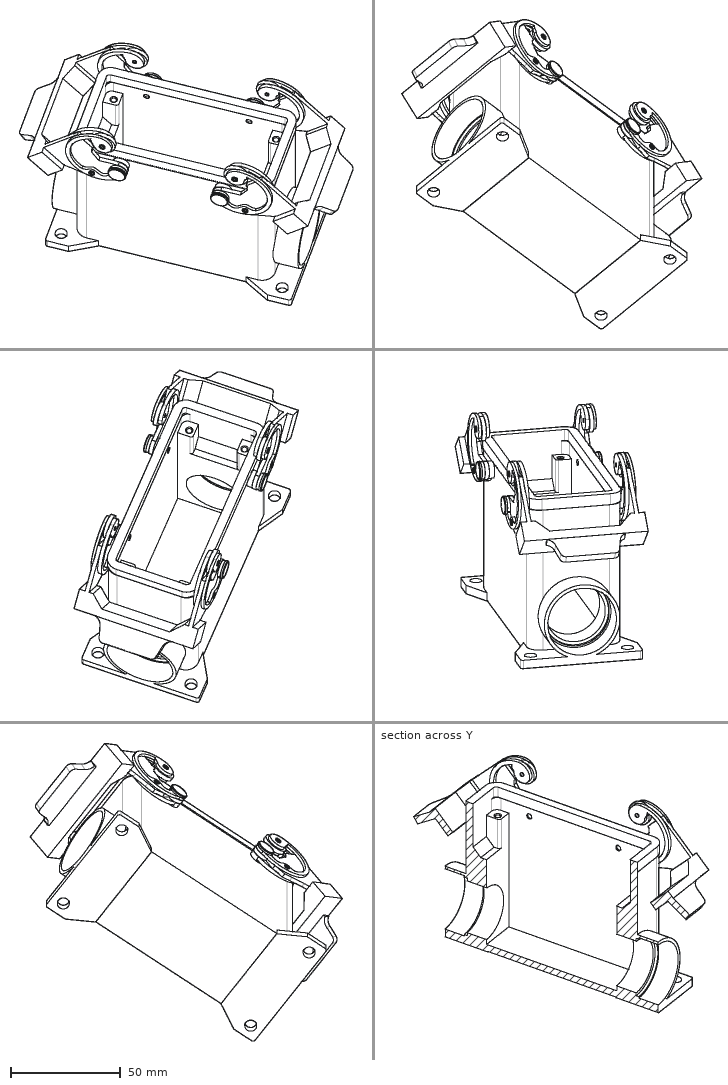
import cadquery as cq
import math

body_length = 94.0
body_width = 43.5
body_base = 0.3
corner_radius = 6.2
rim_length = 94.2
rim_width = 44.5
rim_height = 5.3
body_top = 77.0
rim_bottom = body_top - rim_height
cavity_length = 86.0
cavity_width = 35.9
mouth_width = 36.0
cavity_corner = 3.0
mouth_corner = 1.5
floor_top = 4.1
overlap = 0.8

pillar_length = 7.4
pillar_width = 7.3
pillar_top = 65.1
pillar_edge_radius = 1.2
pillar_hole_x = 38.6
pillar_hole_y = 13.5
pillar_hole_radius = 1.2
pillar_hole_depth = 12.1
pillar_countersink_radius = 1.7
countersink_angle = 90
ledge_top = 49.5
ledge_slope = 4.2

entry_z = 20.5
entry_radius = 17.7
entry_end = 58.5
entry_bore_radius = 13.8
socket_radius = 16.0
socket_depth = 10.6
seat_radius = 15.3
seat_depth = 12.1

flange_thickness = 4.1
flange_half_width = 28.6
flange_inner_x = 35.1
flange_taper_x = 47.3
flange_corner = 1.2
flange_hole_x = 52.5
flange_hole_y = 22.7
flange_hole_radius = 2.7

cam_x, cam_z = -33.5, 75.3
cam_outer_radius = 15.6
cam_inner_radius = 13.5
hook_x, hook_z = -31.5, 84.8
hook_radius = 5.6
hook_cheek_radius = 4.4
pivot_x, pivot_z = -24.4, 67.3
pivot_radius = 4.2
pivot_cheek_radius = 4.0
detent_x, detent_z = -36.5, 63.0
rivet_radius = 1.4
rivet_dimple_radius = 0.9
rivet_height = 0.5

arm_inner_y = 22.4
plate_inner_y = 24.2
plate_outer_y = 26.2
arm_outer_y = 27.5
pivot_head_y = 28.8
pivot_head_bevel = 0.38
pivot_pin_start_y = 20.5
wall_dimple_radius = 1.4
wall_dimple_depth = 0.8

bar_x, bar_z = -59.8, 71.4
bar_width = 58.0
bar_half_width = bar_width / 2
bar_length = 9.7
bar_height = 13.8
bar_relief = 5.6
bar_relief_outer_y = 22.3
bar_relief_inner_y = 16.5
tab_tip_x, tab_tip_z = -75.7, 58.6
tab_slope = 32.5
tab_thickness = 4.0
tab_length = 13.0
tab_tip_half_width = 13.3
tab_waist_half_width = 15.1
tab_flare_half_width = 16.4
tab_root_half_width = 18.3
tab_flare_start = 7.0
tab_flare_middle = 9.4
tab_flare_end = 10.6
tab_corner = 2.4


def box(x0, x1, y0, y1, z0, z1):
    """Axis-aligned block between two opposite corners."""
    return cq.Workplane("XY").box(x1 - x0, y1 - y0, z1 - z0, centered=False).translate((x0, y0, z0))


def side_plane(y):
    """Sketch plane at the given Y, drawn in (X, Z); negative extrusions run toward +Y."""
    return cq.Workplane(cq.Plane((0, y, 0), xDir=(1, 0, 0), normal=(0, -1, 0)))


def disc(x, z, radius, y0, y1):
    return side_plane(y0).center(x, z).circle(radius).extrude(y0 - y1)


def profile(points, y0, y1):
    return side_plane(y0).polyline(points).close().extrude(y0 - y1)


def both_sides(shape, plane):
    return shape.union(shape.mirror(plane))


def make_shell():
    body = box(
        -body_length / 2, body_length / 2, -body_width / 2, body_width / 2, body_base, body_top
    ).edges("|Z").fillet(corner_radius)
    rim = box(
        -rim_length / 2, rim_length / 2, -rim_width / 2, rim_width / 2, rim_bottom, body_top
    ).edges("|Z").fillet(corner_radius)
    cavity = box(
        -cavity_length / 2, cavity_length / 2, -cavity_width / 2, cavity_width / 2, floor_top, rim_bottom
    ).edges("|Z").fillet(cavity_corner)
    mouth = box(
        -cavity_length / 2, cavity_length / 2, -mouth_width / 2, mouth_width / 2, rim_bottom, body_top
    ).edges("|Z").fillet(mouth_corner)
    return body.union(rim).cut(cavity).cut(mouth)


def make_end_supports():
    """Ledge, its sloped back and two drilled pillars at the -X end of the cavity."""
    wall_x = -cavity_length / 2
    front_x = wall_x + pillar_length
    half_width = cavity_width / 2
    ledge = profile(
        [
            (wall_x - overlap, floor_top - overlap),
            (front_x, floor_top - overlap),
            (front_x, ledge_top),
            (wall_x + ledge_slope, ledge_top),
            (wall_x, ledge_top + ledge_slope),
            (wall_x - overlap, ledge_top + ledge_slope),
        ],
        -half_width - overlap,
        half_width + overlap,
    )
    pillar = box(
        wall_x - overlap, front_x, half_width - pillar_width, half_width + overlap, floor_top, pillar_top
    ).edges("|Z and >X and <Y").fillet(pillar_edge_radius)
    drilled_pillar = (
        pillar.faces(">Z")
        .workplane(origin=(-pillar_hole_x, pillar_hole_y, pillar_top))
        .cskHole(2 * pillar_hole_radius, 2 * pillar_countersink_radius, countersink_angle, pillar_hole_depth)
    )
    return ledge.union(both_sides(drilled_pillar, "XZ"))


def entry_cylinder(radius, x0, x1):
    return cq.Workplane("YZ", origin=(x0, 0, entry_z)).circle(radius).extrude(x1 - x0)


def make_flange():
    flange = (
        cq.Workplane("XY")
        .polyline(
            [
                (-entry_end, -flange_half_width),
                (-flange_taper_x, -flange_half_width),
                (-flange_inner_x, -body_width / 2),
                (-flange_inner_x, body_width / 2),
                (-flange_taper_x, flange_half_width),
                (-entry_end, flange_half_width),
            ]
        )
        .close()
        .extrude(flange_thickness)
        .edges("|Z and <X")
        .fillet(flange_corner)
    )
    holes = (
        cq.Workplane("XY")
        .pushPoints([(-flange_hole_x, -flange_hole_y), (-flange_hole_x, flange_hole_y)])
        .circle(flange_hole_radius)
        .extrude(flange_thickness)
    )
    return flange.cut(holes)


def cam_ring(y0, y1):
    """Curved band running round the cam centre from above it, counter-clockwise to the pivot."""
    ring = disc(cam_x, cam_z, cam_outer_radius, y0, y1).cut(disc(cam_x, cam_z, cam_inner_radius, y0, y1))
    reach = 2 * cam_outer_radius
    opening = profile(
        [
            (cam_x, cam_z),
            (cam_x + 3 * (pivot_x - cam_x), cam_z + 3 * (pivot_z - cam_z)),
            (cam_x + reach, cam_z),
            (cam_x + reach, cam_z + reach),
            (cam_x, cam_z + reach),
        ],
        y0,
        y1,
    )
    return ring.cut(opening)


def make_hook(y0, y1):
    """Nose that carries the band on from the top of its arc into the round hook end."""
    nose = (
        side_plane(y0)
        .moveTo(cam_x, cam_z + cam_outer_radius)
        .threePointArc((-29.1, 89.1), (hook_x + hook_cheek_radius, hook_z))
        .lineTo(hook_x - hook_cheek_radius, hook_z)
        .lineTo(-37.0, 86.8)
        .lineTo(-37.3, 89.4)
        .close()
        .extrude(y0 - y1)
    )
    return nose.union(disc(hook_x, hook_z, hook_cheek_radius, y0, y1))


def make_detent(y0, y1):
    """Wavy swelling on the inner edge of the band, between its lowest part and the pivot."""
    crest = [(-38.8, 64.7), (-36.4, 65.6), (-34.5, 64.7), (-31.7, 62.7), (-29.4, 63.5), (-28.2, 65.0)]
    return (
        side_plane(y0)
        .moveTo(-41.2, 64.5)
        .spline(crest, includeCurrent=True)
        .lineTo(pivot_x, pivot_z)
        .lineTo(-25.8, 63.5)
        .lineTo(-30.9, 60.7)
        .lineTo(-36.4, 60.9)
        .lineTo(-41.7, 63.2)
        .close()
        .extrude(y0 - y1)
    )


def make_cheek(y0, y1):
    return (
        cam_ring(y0, y1)
        .union(make_hook(y0, y1))
        .union(make_detent(y0, y1))
        .union(disc(pivot_x, pivot_z, pivot_cheek_radius, y0, y1))
    )


def make_plate(y0, y1):
    """Middle layer of the arm, from the cross bar to the pivot, and the roller held in the hook."""
    plate = profile(
        [
            (bar_x, bar_z),
            (-43.8, 87.4),
            (-36.4, 79.8),
            (-37.0, 79.0),
            (-37.0, 76.7),
            (-33.6, rim_bottom),
            (pivot_x, rim_bottom),
            (pivot_x, pivot_z),
            (-30.9, 60.0),
            (-36.4, 57.9),
            (-40.5, 59.2),
            (-47.3, 61.0),
            (-50.1, 61.7),
        ],
        y0,
        y1,
    )
    return (
        plate
        .union(disc(hook_x, hook_z, hook_radius, y0, y1))
        .union(disc(pivot_x, pivot_z, pivot_radius, y0, y1))
    )


def make_arm():
    """Lever arm on the +Y side, with its pivot pin let into the housing wall."""
    arm = make_plate(plate_inner_y, plate_outer_y)
    arm = arm.union(make_cheek(arm_inner_y, plate_inner_y))
    arm = arm.union(make_cheek(plate_outer_y, arm_outer_y))
    rivet_top = arm_outer_y + rivet_height
    for x, z in [(hook_x, hook_z), (detent_x, detent_z)]:
        arm = arm.union(disc(x, z, rivet_radius, plate_outer_y, rivet_top))
        arm = arm.cut(disc(x, z, rivet_dimple_radius, arm_outer_y, rivet_top))
        arm = arm.cut(disc(x, z, rivet_dimple_radius, arm_inner_y, arm_inner_y + rivet_height))
    pin = disc(pivot_x, pivot_z, pivot_cheek_radius, pivot_pin_start_y, arm_outer_y)
    head = disc(pivot_x, pivot_z, pivot_radius, arm_outer_y, pivot_head_y)
    return arm.union(pin).union(head.faces(">Y").chamfer(pivot_head_bevel))


def make_bar():
    plane = cq.Plane((bar_x, 0, bar_z), xDir=(-1, 0, -1), normal=(-1, 0, 1))
    return (
        cq.Workplane(plane)
        .polyline(
            [
                (0, bar_half_width),
                (0, bar_relief_outer_y),
                (bar_relief, bar_relief_inner_y),
                (bar_relief, -bar_relief_inner_y),
                (0, -bar_relief_outer_y),
                (0, -bar_half_width),
                (bar_length, -bar_half_width),
                (bar_length, bar_half_width),
            ]
        )
        .close()
        .extrude(-bar_height)
    )


def make_tab():
    slope = math.radians(tab_slope)
    plane = cq.Plane(
        (tab_tip_x, 0, tab_tip_z),
        xDir=(math.cos(slope), 0, math.sin(slope)),
        normal=(-math.sin(slope), 0, math.cos(slope)),
    )
    tab = (
        cq.Workplane(plane)
        .moveTo(0, -tab_tip_half_width)
        .lineTo(tab_flare_start, -tab_waist_half_width)
        .threePointArc((tab_flare_middle, -tab_flare_half_width), (tab_flare_end, -tab_root_half_width))
        .lineTo(tab_length, -tab_root_half_width)
        .lineTo(tab_length, tab_root_half_width)
        .lineTo(tab_flare_end, tab_root_half_width)
        .threePointArc((tab_flare_middle, tab_flare_half_width), (tab_flare_start, tab_waist_half_width))
        .lineTo(0, tab_tip_half_width)
        .close()
        .extrude(-tab_thickness)
    )
    tip_corners = tab.edges(cq.selectors.ParallelDirSelector(plane.zDir)).edges("<X")
    return tip_corners.fillet(tab_corner)


def make_lever():
    return both_sides(make_arm(), "XZ").union(make_bar()).union(make_tab())


entry = entry_cylinder(entry_radius, -entry_end, -cavity_length / 2)
end_parts = make_end_supports().union(entry).union(make_flange())
housing = make_shell().union(both_sides(end_parts, "YZ"))

bore = entry_cylinder(entry_bore_radius, -entry_end, -cavity_length / 2 + pillar_length)
socket = entry_cylinder(socket_radius, -entry_end, -entry_end + socket_depth)
seat = entry_cylinder(seat_radius, -entry_end, -entry_end + seat_depth)
housing = housing.cut(both_sides(bore.union(socket).union(seat), "YZ"))

wall_y = cavity_width / 2
wall_dimple = disc(pivot_x, pivot_z, wall_dimple_radius, wall_y, wall_y + wall_dimple_depth)
housing = housing.cut(both_sides(both_sides(wall_dimple, "XZ"), "YZ"))

result = housing.union(both_sides(make_lever(), "YZ"))